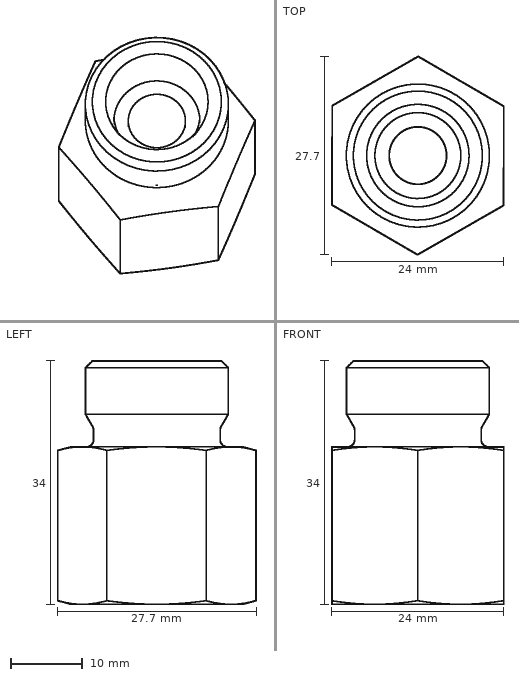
import cadquery as cq
import math

total_height = 34.0
axis = ((0, 0, 0), (0, 1, 0))

hex_across_corners = 27.7
hex_turn = 0.2
hex_height = 22.0
hex_chamfer_angle = 15.0
hex_face_radius = 23.97 / 2

collar_radius = 20.0 / 2
collar_chamfer = 1.0
collar_length = 7.45
neck_radius = 17.7 / 2
undercut_angle = 30.0
neck_fillet = 1.0

seat_depth = 5.45
seat_half_angle = 12.0
socket_radius = 12.0 / 2
socket_depth = 7.5
through_diameter = 8.0


def make_hex_body():
    """Hexagonal prism with its corners turned off conically at both ends."""
    prism = (
        cq.Workplane("XY")
        .polygon(6, hex_across_corners)
        .extrude(hex_height)
        .rotate((0, 0, 0), (0, 0, 1), 90 - hex_turn)
    )
    corner_radius = hex_across_corners / 2
    corner_drop = (corner_radius - hex_face_radius) * math.tan(math.radians(hex_chamfer_angle))
    overrun = 2.0
    outer_radius = hex_face_radius + overrun * (corner_radius - hex_face_radius)
    outer_drop = overrun * corner_drop
    envelope = (
        cq.Workplane("XZ")
        .polyline([
            (0, 0),
            (hex_face_radius, 0),
            (outer_radius, outer_drop),
            (outer_radius, hex_height - outer_drop),
            (hex_face_radius, hex_height),
            (0, hex_height),
        ])
        .close()
        .revolve(360, *axis)
    )
    return prism.intersect(envelope)


def make_spigot():
    """Chamfered collar, conical undercut and neck with a rounded root."""
    taper = math.radians(undercut_angle)
    undercut_start = total_height - collar_length
    undercut_end = undercut_start - (collar_radius - neck_radius) / math.tan(taper)

    tangent = neck_fillet * math.tan(taper / 2)
    arc_center = (neck_radius + neck_fillet, undercut_end - tangent)
    cone_tangent = (
        neck_radius + tangent * math.sin(taper),
        undercut_end + tangent * math.cos(taper),
    )
    arc_middle = (
        arc_center[0] - neck_fillet * math.cos(taper / 2),
        arc_center[1] + neck_fillet * math.sin(taper / 2),
    )

    root_middle = (
        neck_radius + neck_fillet * (1 - math.sqrt(0.5)),
        hex_height + neck_fillet * (1 - math.sqrt(0.5)),
    )
    return (
        cq.Workplane("XZ")
        .moveTo(0, total_height)
        .lineTo(collar_radius - collar_chamfer, total_height)
        .lineTo(collar_radius, total_height - collar_chamfer)
        .lineTo(collar_radius, undercut_start)
        .lineTo(*cone_tangent)
        .threePointArc(arc_middle, (neck_radius, arc_center[1]))
        .lineTo(neck_radius, hex_height + neck_fillet)
        .threePointArc(root_middle, (neck_radius + neck_fillet, hex_height))
        .lineTo(0, hex_height)
        .close()
        .revolve(360, *axis)
    )


def make_bore():
    """Conical seat, cylindrical socket and a through hole."""
    mouth_radius = socket_radius + seat_depth * math.tan(math.radians(seat_half_angle))
    seat_and_socket = (
        cq.Workplane("XZ")
        .polyline([
            (0, total_height),
            (mouth_radius, total_height),
            (socket_radius, total_height - seat_depth),
            (socket_radius, total_height - socket_depth),
            (0, total_height - socket_depth),
        ])
        .close()
        .revolve(360, *axis)
    )
    through_hole = cq.Workplane("XY").circle(through_diameter / 2).extrude(total_height)
    return seat_and_socket.union(through_hole)


result = make_hex_body().union(make_spigot()).cut(make_bore())